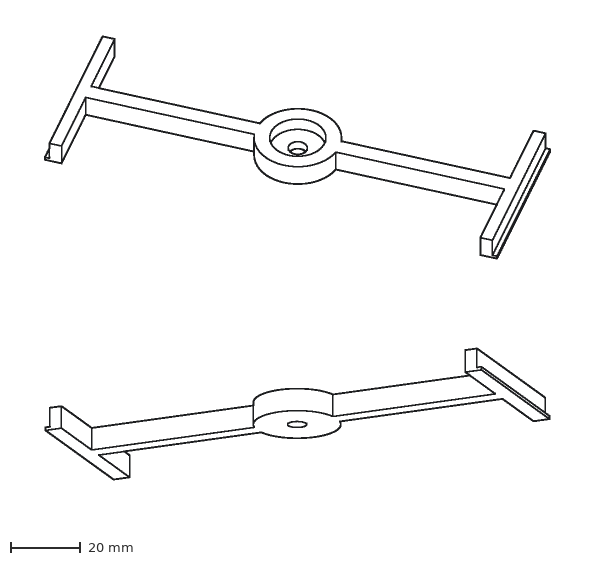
import cadquery as cq

length = 136.2
width = 48.6
height = 6.7

bar_thickness = 5.0
lip_width = 1.4
lip_height = 1.0

arm_width = 5.0
arm_offset_y = 0.3

hub_diameter = 25.0
recess_diameter = 16.1
recess_depth = 4.0
bore_diameter = 5.5


def end_bar(side):
    """Cross bar with its lip; side is -1 or +1 along X."""
    outer = side * length / 2
    wall = outer - side * lip_width
    inner = outer - side * bar_thickness
    profile = [
        (outer, 0),
        (outer, lip_height),
        (wall, lip_height),
        (wall, height),
        (inner, height),
        (inner, 0),
    ]
    return cq.Workplane("XZ").polyline(profile).close().extrude(width / 2, both=True)


arm_length = length - 2 * bar_thickness
arm = cq.Workplane("XY").center(0, arm_offset_y).rect(arm_length, arm_width).extrude(height)
hub = cq.Workplane("XY").center(0, arm_offset_y).circle(hub_diameter / 2).extrude(height)

body = arm.union(hub)
for side in (-1, 1):
    body = body.union(end_bar(side))

result = body.faces(">Z").workplane(origin=(0, arm_offset_y, height)).cboreHole(
    bore_diameter, recess_diameter, recess_depth
)